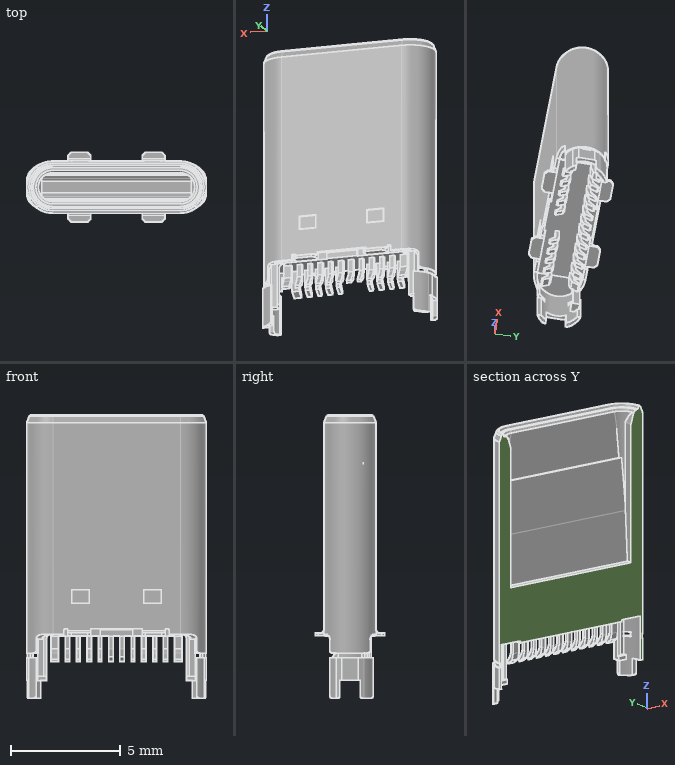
import cadquery as cq
import math

height = 13.0
shell_width = 8.25
shell_depth = 2.4
wall = 0.15
end_radius = shell_depth / 2
end_center_x = shell_width / 2 - end_radius
shell_bottom = 2.94

bevel_bottom, bevel_inset = 12.65, 0.11
lip_bottom, lip_inset = 12.93, 0.2
rim_outer_inset, rim_inset = 0.23, 0.31
rim_level = 12.85

mouth_inset = 0.43
chamfer_inset = 0.54
chamfer_bottom = 12.72
mouth_half = end_radius - chamfer_inset
cavity_end_x = 3.43
end_slope_bottom = 12.2
ledge_level = 10.5
ledge_outer_half, ledge_inner_half = 0.6, 0.54
throat_level, throat_half = 8.0, 0.41
floor_level, floor_half = 5.6, 0.26

window_width, window_height = 0.8, 0.61
window_bottom = 4.36
window_center_x = 1.65
window_recess = 0.08

tab_center_x = 1.7
tab_width = 1.06
tab_span = 3.2
tab_bottom = 2.87
tab_thickness = 0.13
tab_corner = 0.15
tab_flare = 0.1
tab_flare_top = 3.11
relief_top = 3.19
relief_width = 0.18
housing_bottom = 2.85
housing_width = 5.84
key_width = 1.48
key_gap = 0.05

ear_half = 0.93
ear_bottom = 2.08
ear_fillet = 0.22
ear_corner = 0.1
neck_half = 0.55
neck_inset = 0.03
leg_top = 1.87
leg_front, leg_back = -0.93, 1.07
leg_corner = 0.12
slot_half = 0.46
slot_top = 0.83
plate_half = 0.37
bend_half = 0.62
bend_outset = 0.08

strap_inner_x, strap_step_x, strap_outer_x = 3.2, 3.34, 3.62
strap_front, strap_step_front, strap_back = 0.68, 0.78, 0.98
strap_foot_front, strap_foot_height = 0.6, 0.21
strap_bottom = 0.81
strap_fillet = 0.2

pitch = 0.5
tail_bottom = 1.68
tail_thickness = 0.18
tail_face = 0.6
tail_toe = 0.88
tail_bend_top = 2.27
tail_bend_bottom = 2.1
tail_toe_top = 1.79
wide_tail_x, wide_tail_width = 2.83, 0.35
signal_width, power_width = 0.17, 0.22


def block(x0, x1, y0, y1, z0, z1):
    return cq.Workplane("XY").box(x1 - x0, y1 - y0, z1 - z0, centered=False).translate((x0, y0, z0))


def both_ends(body):
    return body.union(body.mirror("YZ"))


def both_faces(body):
    return body.union(body.mirror("XZ"))


def stadium(inset, z0, z1, top_inset=None):
    """Shell outline moved inward by inset, raised from z0 to z1 and tapered to top_inset if given."""
    width = shell_width - 2 * inset
    depth = shell_depth - 2 * inset
    taper = 0
    if top_inset is not None:
        taper = math.degrees(math.atan((top_inset - inset) / (z1 - z0)))
    return cq.Workplane("XY").workplane(offset=z0).slot2D(width, depth).extrude(z1 - z0, taper=taper)


def shell_body():
    body = stadium(0, shell_bottom, bevel_bottom)
    body = body.union(stadium(0, bevel_bottom, lip_bottom, bevel_inset))
    body = body.union(stadium(bevel_inset, lip_bottom, height, lip_inset))
    body = body.cut(stadium(rim_inset, rim_level, height, rim_outer_inset))
    housing = block(-housing_width / 2, housing_width / 2, -end_radius + wall, end_radius - wall,
                    housing_bottom, relief_top)
    return body.union(housing)


def cavity():
    """Chamfered mouth above the overlap of a round outline, a cross section and a long section."""
    outline = stadium(chamfer_inset, floor_level, chamfer_bottom)
    half_section = [
        (mouth_half, chamfer_bottom),
        (ledge_outer_half, ledge_level),
        (ledge_inner_half, ledge_level),
        (throat_half, throat_level),
        (floor_half, floor_level),
    ]
    other_half = [(-y, z) for y, z in reversed(half_section)]
    section = (
        cq.Workplane("YZ").polyline(half_section + other_half).close()
        .extrude(shell_width / 2, both=True)
    )
    mouth_end_x = shell_width / 2 - chamfer_inset
    long_section = (
        cq.Workplane("XZ")
        .polyline([
            (-mouth_end_x, chamfer_bottom),
            (mouth_end_x, chamfer_bottom),
            (cavity_end_x, end_slope_bottom),
            (cavity_end_x, floor_level),
            (-cavity_end_x, floor_level),
            (-cavity_end_x, end_slope_bottom),
        ])
        .close().extrude(end_radius, both=True)
    )
    mouth = stadium(chamfer_inset, chamfer_bottom, rim_level, mouth_inset)
    return mouth.union(outline.intersect(section).intersect(long_section))


def latch_windows():
    left = window_center_x - window_width / 2
    window = block(left, left + window_width, -end_radius, -end_radius + window_recess,
                   window_bottom, window_bottom + window_height)
    return both_faces(both_ends(window))


def tab_reliefs():
    """Clearance cut through the shell between the tabs and just outside them."""
    inner = tab_center_x - tab_width / 2
    outer = tab_center_x + tab_width / 2
    face = -end_radius
    middle = block(-inner, inner, face, face + wall, shell_bottom, relief_top)
    side = block(outer, outer + relief_width, face, face + wall, shell_bottom, relief_top)
    side = side.edges("|Y and >Z").fillet(relief_width * 0.4)
    return both_faces(middle.union(both_ends(side)))


def keys():
    """Raised housing pads in the gaps between the tabs."""
    face = -end_radius + wall
    return both_faces(block(-key_width / 2, key_width / 2, face - wall / 2, face,
                            housing_bottom, relief_top - key_gap))


def tabs():
    left = tab_center_x - tab_width / 2
    tab_top = tab_bottom + tab_thickness
    tab = block(left, left + tab_width, -tab_span / 2, -end_radius + wall, tab_bottom, tab_top)
    tab = tab.edges("|Z and <Y").chamfer(tab_corner)
    flare = (
        cq.Workplane("YZ").workplane(offset=left)
        .polyline([
            (-end_radius - tab_flare, tab_top),
            (-end_radius, tab_flare_top),
            (-end_radius + wall, tab_flare_top),
            (-end_radius + wall, tab_top),
        ])
        .close().extrude(tab_width)
    )
    return both_faces(both_ends(tab.union(flare)))


def end_point(y, outset=0):
    """Point of the round shell end at height y, moved outward along X by outset."""
    return (end_center_x + math.sqrt(end_radius ** 2 - y ** 2) + outset, y)


def ear_ring(z0, z1, inset=0):
    """Part of the shell wall at the ends, from z0 to z1."""
    ring = stadium(inset, z0, z1).cut(stadium(wall, z0, z1))
    return ring.intersect(block(end_center_x, shell_width / 2, -end_radius, end_radius, z0, z1))


def ears():
    """Shell wall extended down at both ends, with flared roots and a narrow neck to each leg."""
    tip_x, tip_y = end_point(ear_half)
    far_x = 2 * tip_x - end_center_x
    sector = (
        cq.Workplane("XY").workplane(offset=ear_bottom)
        .polyline([(end_center_x, 0), (far_x, -2 * tip_y), (far_x, 2 * tip_y)])
        .close().extrude(shell_bottom - ear_bottom)
    )
    outline = block(0, shell_width / 2, -ear_half, ear_half, ear_bottom, shell_bottom)
    outline = outline.edges("|X and <Z").fillet(ear_corner)
    ear = ear_ring(ear_bottom, shell_bottom).intersect(sector).intersect(outline)

    root_bottom = shell_bottom - ear_fillet
    root_half = ear_half + ear_fillet
    root = block(end_center_x, shell_width / 2, -root_half, root_half, root_bottom, shell_bottom)
    for y in (-root_half, root_half):
        root = root.cut(
            cq.Workplane("YZ").center(y, root_bottom).circle(ear_fillet).extrude(shell_width / 2)
        )
    root = root.intersect(ear_ring(root_bottom, shell_bottom))

    neck_block = block(end_center_x, shell_width / 2, -neck_half, neck_half, leg_top, ear_bottom)
    neck = ear_ring(leg_top, ear_bottom, neck_inset).intersect(neck_block)
    return both_ends(ear.union(root).union(neck))


def legs():
    """Forked board legs: a flat end plate with two curved wings."""
    front_bend = end_point(-bend_half, bend_outset)
    back_bend = end_point(bend_half, bend_outset)
    half_width = shell_width / 2
    profile = (
        cq.Workplane("XY").moveTo(end_point(leg_back)[0], 0)
        .lineTo(end_point(leg_front)[0], 0)
        .lineTo(*end_point(leg_front))
        .radiusArc(front_bend, -end_radius)
        .lineTo(half_width, -plate_half)
        .lineTo(half_width, plate_half)
        .lineTo(*back_bend)
        .radiusArc(end_point(leg_back), -end_radius)
        .close().extrude(leg_top)
    )
    sheet = profile.cut(stadium(wall, 0, leg_top))
    outline = block(0, half_width, leg_front, -slot_half, 0, leg_top)
    outline = outline.union(block(0, half_width, slot_half, leg_back, 0, leg_top))
    outline = outline.edges("|X and <Z").fillet(leg_corner)
    outline = outline.union(block(0, half_width, -slot_half, slot_half, slot_top, leg_top))
    return both_ends(sheet.intersect(outline))


def straps():
    """Inner straps that run down behind the ears."""
    thin = block(strap_inner_x, strap_step_x, strap_front, strap_back, strap_bottom, housing_bottom)
    thick = block(strap_step_x, strap_outer_x, strap_step_front, strap_back, strap_bottom, housing_bottom)
    cap = block(strap_inner_x, strap_outer_x, strap_front, strap_back, housing_bottom, relief_top)
    foot = block(strap_inner_x, strap_outer_x, strap_foot_front, strap_back,
                 strap_bottom, strap_bottom + strap_foot_height)
    gusset = (
        cq.Workplane("XZ", origin=(0, strap_back, 0))
        .moveTo(strap_inner_x, shell_bottom)
        .lineTo(strap_inner_x, shell_bottom - strap_fillet)
        .radiusArc((strap_inner_x - strap_fillet, shell_bottom), -strap_fillet)
        .close().extrude(strap_back - strap_front)
    )
    strap = thin.union(thick).union(foot).union(cap).union(gusset)
    inside = stadium(wall / 2, strap_bottom, relief_top)
    return both_ends(strap.intersect(inside))


def tail(x, width):
    """One contact tail on the front face, with its foot bent outward."""
    profile = [
        (-tail_face, relief_top),
        (-tail_face, tail_bend_top),
        (-tail_face - tail_thickness / 3, tail_bend_bottom),
        (-tail_toe, tail_toe_top),
        (-tail_toe + tail_thickness / 3, tail_bottom),
        (-tail_face + tail_thickness / 2, tail_bend_bottom - tail_thickness),
        (-tail_face + tail_thickness, tail_bend_top),
        (-tail_face + tail_thickness, relief_top),
    ]
    body = cq.Workplane("YZ").polyline(profile).close().extrude(width / 2, both=True)
    return body.translate((x, 0, 0))


def contact_tails():
    front_row = tail(wide_tail_x, wide_tail_width)
    for index in range(1, 5):
        width = signal_width if index % 2 else power_width
        front_row = front_row.union(tail((index + 0.5) * pitch, width))
    middle = tail(pitch / 2, power_width).mirror("XZ")
    return both_ends(both_faces(front_row).union(middle))


result = shell_body()
for recess in (cavity(), latch_windows(), tab_reliefs()):
    result = result.cut(recess)
for addition in (keys(), tabs(), ears(), legs(), straps(), contact_tails()):
    result = result.union(addition)
result = result.clean()